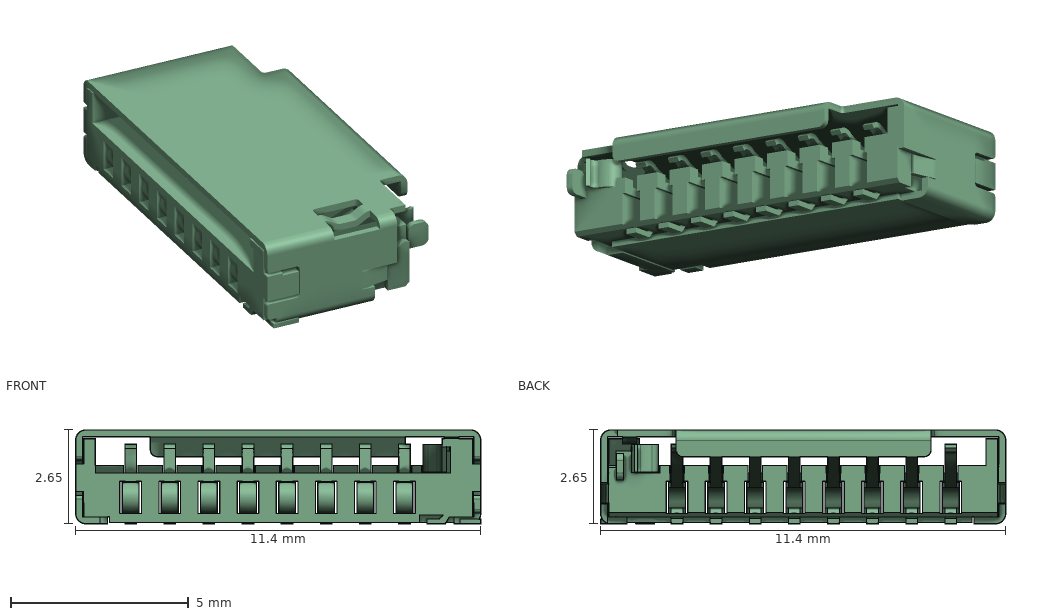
import cadquery as cq
import math


width = 11.4
height = 2.65
depth = 4.6
overall_depth = 5.5

sheet = 0.2
bend_radius = 0.3
corner_radius = 0.1
roof_under = height - sheet

left_lip_end = 0.9
left_lip_front_end = 0.69
lip_depth = 3.4
right_lip_start = 10.65
right_lip_front = 0.3
right_lip_rear = 2.93
right_finger_bottom = 0.31

pad_left = 10.82
pad_front = 0.2
pad_length = 0.8
pad_thickness = 0.14

side_skirt_bottom = 1.16
latch_window_front = 3.0
latch_window_bottom = 0.56
right_wall_rear = 4.1
tongue_bend_length = 0.13
tongue_rear = 3.88
tongue_angle = math.radians(11)
tongue_gap = 0.03
roof_notch_left = 10.92

ear_slot_depth = 1.03
ear_slot_bottom = 0.8
ear_slot_top = 1.8
ear_slot_flare = 0.1
ear_slot_corner = 0.13

tab_left = 2.1
tab_right = 9.28
tab_bottom = 1.89
tab_corner_radius = 0.2

roof_window_left = 9.99
roof_window_front = 2.12
roof_window_rear = 3.56
spring_left = 10.37
spring_right = 10.78
spring_slope = math.radians(30)
spring_upper_radius = 0.27
spring_lower_radius = 0.3
spring_ramp_run = 0.21
spring_flat = 0.446
spring_overlap = 0.1

side_gap = 0.03
body_left = sheet + side_gap
body_right = width - body_left
body_bottom = sheet
body_top = 2.4
floor_top = 1.44
left_wall_inner = 0.56
right_block_left = 10.31
right_block_depth = roof_window_front
card_notch_right = 10.54
card_notch_top = 2.17

boss_left = 0.95
boss_right = 9.68
boss_bottom = 0.04
boss_depth = 3.49
boss_rear_right = right_lip_start

ear_bottom = 0.91
ear_top = 1.69
ear_rear_top = 1.62
ear_step = 0.5
ear_depth = 1.0

post_left = 10.43
post_top = 2.05

side_recess = 0.2
side_recess_front = right_lip_rear
post_right = body_right - side_recess

lug_front = 3.92
lug_chamfer = 0.12
rear_rise_front = 4.1
rear_rise_crest = 4.45
rear_rise = 0.2
rear_rise_crown = 0.05

comb_front = 4.2
comb_top = 1.65
comb_right = 9.74

terminal_left = 9.885
terminal_knee = 10.4
terminal_depth = 0.4
terminal_recess_top = 0.25

contact_count = 8
contact_pitch = 1.1
first_contact_x = 1.55
contact_thickness = 0.15
contact_width = 0.33
loop_width = 0.48
tunnel_width = 0.6
tunnel_bottom = 0.3
tunnel_top = 1.2
loop_front = 0.06
loop_top = 1.17
beam_slot_width = 0.4
beam_slot_front = 1.2
beam_bend = (3.6, 2.06)
beam_crest = (3.85, 2.17)
beam_tip = (4.1, 2.08)
tail_knee = 3.96

leaf_thickness = 0.12
leaf_bottom = 1.45
leaf_top = 2.24
leaf_root_x = post_left - leaf_thickness / 2
leaf_root_y = 2.6
leaf_straight_end = 3.7
leaf_swing_start = (10.2, 3.98)
leaf_swing_end = (9.95, 4.15)
leaf_turn_middle = (9.83, 4.4)
leaf_turn_end = (9.98, 4.62)
leaf_hook_start = (10.28, 4.68)
leaf_hook_middle = (10.46, 4.85)
leaf_hook_tip = (10.4, 5.06)
blade_left = 10.76
blade_right = 10.95
blade_bottom = 1.24
blade_bar_top = 1.44
blade_upright_front = 4.69
blade_top = 1.98
blade_rear = 5.32
blade_radius = 0.2


def block(x0, x1, y0, y1, z0, z1):
    """Rectangular block between two corners."""
    return cq.Workplane("XY").box(x1 - x0, y1 - y0, z1 - z0, centered=False).translate((x0, y0, z0))


def strip(path, x_centre, y_start, z_start, strip_width, thickness):
    """Flat strip running back along a side-view path that starts in the +Y direction."""
    section = cq.Workplane("XZ", origin=(x_centre, y_start, z_start)).rect(strip_width, thickness)
    return section.sweep(path, transition="round")


def side_path(x_centre):
    """Sketch whose coordinates are y and z, in the plane x = x_centre."""
    return cq.Workplane("YZ", origin=(x_centre, 0, 0))


def side_prism(points, x0, x1):
    """Prism along X with a side-view outline of (y, z) points."""
    return side_path(x0).polyline(points).close().extrude(x1 - x0)


def plan_prism(points, z0, z1):
    """Prism along Z with a plan outline of (x, y) points."""
    return cq.Workplane("XY", origin=(0, 0, z0)).polyline(points).close().extrude(z1 - z0)


def cross_rod(radius, z):
    """Rod along X across the whole width, touching the front face at height z."""
    return side_path(0).center(radius, z).circle(radius).extrude(width)


def mirrored(shape):
    """The same shape on the opposite side of the part's middle plane."""
    return shape.mirror("YZ", (width / 2, 0, 0))


def shell_sleeve():
    """Bent sleeve with a roof, two side walls and a lip under each side."""
    sleeve = block(0, width, 0, depth, 0, height).edges("|Y").fillet(bend_radius)
    sleeve = sleeve.cut(block(sheet, width - sheet, 0, depth, sheet, roof_under))
    sleeve = sleeve.cut(block(left_lip_end, right_lip_start, 0, depth, 0, sheet))
    lip_taper = left_lip_end - left_lip_front_end
    taper = [(left_lip_front_end, 0), (left_lip_end, 0), (left_lip_end, lip_taper)]
    sleeve = sleeve.cut(plan_prism(taper, 0, sheet))
    sleeve = sleeve.cut(block(right_lip_start, width, 0, right_lip_front, 0, right_finger_bottom))
    rounding_z = right_finger_bottom + corner_radius
    finger_corner = block(width - sheet, width, 0, corner_radius, right_finger_bottom, rounding_z)
    sleeve = sleeve.cut(finger_corner.cut(cross_rod(corner_radius, rounding_z)))
    return sleeve.cut(block(right_lip_start, width - sheet, right_lip_rear, depth, 0, sheet))


def ear_slot():
    """Open-ended slot in the left wall, flared at its mouth."""
    slot = block(0, sheet, 0, ear_slot_depth, ear_slot_bottom, ear_slot_top)
    slot = slot.edges("|X and >Y").fillet(ear_slot_corner)
    flare_bottom = ear_slot_bottom - ear_slot_flare
    flare_top = ear_slot_top + ear_slot_flare
    flare = block(0, sheet, 0, ear_slot_flare, flare_bottom, flare_top)
    for z in (flare_bottom, flare_top):
        flare = flare.cut(cross_rod(ear_slot_flare, z))
    return slot.union(flare)


def wall_rear_cut():
    """Stepped clearance in the lower rear of the left wall and lip."""
    outline = [
        (latch_window_front, side_skirt_bottom),
        (depth, side_skirt_bottom),
        (depth, 0),
        (lip_depth, 0),
        (lip_depth, latch_window_bottom),
        (latch_window_front, latch_window_bottom),
    ]
    return side_prism(outline, 0, left_lip_end)


def latch_tongue():
    """Tongue in the left latch window, its free rear end bent inward."""
    outer_radius = tongue_bend_length / math.sin(tongue_angle)
    inner_radius = outer_radius - sheet

    def bend_point(radius, angle):
        return (outer_radius - radius * math.cos(angle), latch_window_front + radius * math.sin(angle))

    outer_bend_end = bend_point(outer_radius, tongue_angle)
    blade_run = tongue_rear - outer_bend_end[1]
    outer_tip = (outer_bend_end[0] + blade_run * math.tan(tongue_angle), tongue_rear)
    inner_tip = (
        outer_tip[0] + sheet * math.cos(tongue_angle),
        outer_tip[1] - sheet * math.sin(tongue_angle),
    )
    tongue_bottom = latch_window_bottom + tongue_gap
    tongue_top = side_skirt_bottom - tongue_gap
    return (
        cq.Workplane("XY", origin=(0, 0, tongue_bottom))
        .moveTo(*bend_point(outer_radius, 0))
        .threePointArc(bend_point(outer_radius, tongue_angle / 2), outer_bend_end)
        .lineTo(*outer_tip)
        .lineTo(*inner_tip)
        .lineTo(*bend_point(inner_radius, tongue_angle))
        .threePointArc(bend_point(inner_radius, tongue_angle / 2), bend_point(inner_radius, 0))
        .close()
        .extrude(tongue_top - tongue_bottom)
    )


def rear_tab():
    """Roof extension turned down at the rear, blended into the roof edge."""
    tab = block(tab_left, tab_right, depth - sheet, overall_depth, tab_bottom, height)
    tab = tab.edges(">Y and >Z").fillet(bend_radius)
    tab = tab.cut(block(tab_left, tab_right, depth - sheet, overall_depth - sheet, tab_bottom, roof_under))
    tab = tab.edges("|Y and <Z").fillet(tab_corner_radius)
    for x, outward in ((tab_left, -1), (tab_right, 1)):
        root_x = x + outward * corner_radius
        root_web = block(min(x, root_x), max(x, root_x), depth, depth + corner_radius, roof_under, height)
        round_cut = (
            cq.Workplane("XY", origin=(root_x, depth + corner_radius, roof_under))
            .circle(corner_radius)
            .extrude(sheet)
        )
        tab = tab.union(root_web.cut(round_cut))
    return tab


def roof_window():
    """Window through the roof and the right-hand bend."""
    window = block(
        roof_window_left, width, roof_window_front, roof_window_rear, height - bend_radius, height
    )
    return window.edges("|Z and <X").fillet(corner_radius)


def roof_spring():
    """Strip bridging the window lengthwise and dipping below the roof in smooth bends."""
    x_centre = (spring_left + spring_right) / 2
    z_roof = height - sheet / 2
    y_start = roof_window_front - spring_overlap
    bend_rise = 1 - math.cos(spring_slope)
    upper_run = spring_upper_radius * math.sin(spring_slope)
    upper_drop = spring_upper_radius * bend_rise
    lower_run = spring_lower_radius * math.sin(spring_slope)
    lower_drop = spring_lower_radius * bend_rise
    ramp_drop = spring_ramp_run * math.tan(spring_slope)
    path = (
        side_path(x_centre)
        .moveTo(y_start, z_roof)
        .lineTo(roof_window_front, z_roof)
        .tangentArcPoint((upper_run, -upper_drop))
        .line(spring_ramp_run, -ramp_drop)
        .tangentArcPoint((lower_run, -lower_drop))
        .line(spring_flat, 0)
        .tangentArcPoint((lower_run, lower_drop))
        .line(spring_ramp_run, ramp_drop)
        .tangentArcPoint((upper_run, upper_drop))
        .line(spring_overlap, 0)
    )
    return strip(path, x_centre, y_start, z_roof, spring_right - spring_left, sheet)


def make_shell():
    shell = shell_sleeve()
    shell = shell.cut(ear_slot()).cut(mirrored(ear_slot()))
    shell = shell.cut(wall_rear_cut()).cut(mirrored(wall_rear_cut()))
    shell = shell.union(latch_tongue()).union(mirrored(latch_tongue()))
    shell = shell.cut(block(roof_notch_left, width, right_wall_rear, depth, 0, height))
    shell = shell.union(rear_tab())
    shell = shell.cut(roof_window()).union(roof_spring())
    pad = block(pad_left, width, pad_front, pad_front + pad_length, 0, pad_thickness)
    return shell.union(pad)


def housing_body():
    """Floor slab, side walls, comb ridge and bottom boss."""
    body = block(body_left, body_right, 0, depth, body_bottom, floor_top)
    body = body.union(block(body_left, left_wall_inner, 0, depth, body_bottom, body_top))
    body = body.edges("|X and >Y and <Z").chamfer(lug_chamfer)
    body = body.union(block(right_block_left, body_right, 0, right_block_depth, floor_top, body_top))
    body = body.cut(
        block(right_block_left, card_notch_right, 0, right_block_depth, floor_top, card_notch_top)
    )
    body = body.union(block(post_left, post_right, right_block_depth, depth, floor_top, post_top))
    body = body.union(block(left_wall_inner, comb_right, comb_front, depth, floor_top, comb_top))
    body = body.union(block(boss_left, boss_right, 0, boss_depth, boss_bottom, body_bottom))
    return body.union(
        block(boss_right, boss_rear_right, terminal_depth, boss_depth, boss_bottom, body_bottom)
    )


def ear():
    """Side ear that fills the front slot of the left shell wall, lower at its rear."""
    front = block(0, body_left, 0, ear_step, ear_bottom, ear_top)
    return front.union(block(0, body_left, 0, ear_depth, ear_bottom, ear_rear_top))


def side_recess_cut():
    """Full-height recess in the left side that gives room to the latch tongue."""
    return block(
        body_left, body_left + side_recess, side_recess_front, lug_front, body_bottom, body_top
    )


def rear_right_rise():
    """Sloped rise on the rear right corner of the floor."""
    outline = [
        (rear_rise_front, floor_top),
        (rear_rise_crest, floor_top + rear_rise),
        (depth, floor_top + rear_rise - rear_rise_crown),
        (depth, floor_top),
    ]
    return side_prism(outline, post_right, body_right)


def front_terminal():
    """Foot at the front right that slants up into the underside of the housing."""
    rise = terminal_recess_top - pad_thickness
    outline = [
        (terminal_left, 0),
        (terminal_knee, 0),
        (terminal_knee + pad_thickness, terminal_recess_top),
        (terminal_knee + pad_thickness - sheet, terminal_recess_top),
        (terminal_knee + pad_thickness - sheet - rise, pad_thickness),
        (terminal_left, pad_thickness),
    ]
    return cq.Workplane("XZ").polyline(outline).close().extrude(-terminal_depth)


def contact(x):
    """Spring contact: rear tail, leg on the tunnel floor, front loop and rising beam."""
    loop_radius = (loop_top - tunnel_bottom) / 2
    loop_y = loop_front + loop_radius
    loop_z = (loop_top + tunnel_bottom) / 2
    z_leg = tunnel_bottom + contact_thickness / 2
    z_arm = loop_top - contact_thickness / 2
    z_tail = contact_thickness / 2

    loop = side_path(x - loop_width / 2).center(loop_y, loop_z).circle(loop_radius)
    loop = loop.circle(loop_radius - contact_thickness).extrude(loop_width)
    loop = loop.intersect(block(x - loop_width, x + loop_width, 0, loop_y, 0, height))

    leg_path = side_path(x).polyline([
        (loop_y, z_leg),
        (tail_knee - (z_leg - z_tail), z_leg),
        (tail_knee, z_tail),
        (depth, z_tail),
    ])
    leg = strip(leg_path, x, loop_y, z_leg, contact_width, contact_thickness)

    beam_path = side_path(x).moveTo(loop_y, z_arm).lineTo(beam_slot_front, z_arm)
    beam_path = beam_path.lineTo(*beam_bend).threePointArc(beam_crest, beam_tip)
    beam = strip(beam_path, x, loop_y, z_arm, contact_width, contact_thickness)
    return loop.union(leg).union(beam)


def contact_cavity(x):
    """Tunnel under the floor and the slot through the floor for the rising beam."""
    half_tunnel = tunnel_width / 2
    half_slot = beam_slot_width / 2
    tunnel = block(x - half_tunnel, x + half_tunnel, 0, depth, tunnel_bottom, tunnel_top)
    return tunnel.union(
        block(x - half_slot, x + half_slot, beam_slot_front - contact_thickness, depth, tunnel_top, comb_top)
    )


def switch_leaf():
    """Upright leaf that swings left behind the post and ends in a hook at the rear."""
    z_middle = (leaf_bottom + leaf_top) / 2
    path = (
        cq.Workplane("XY", origin=(0, 0, z_middle))
        .moveTo(leaf_root_x, leaf_root_y)
        .lineTo(leaf_root_x, leaf_straight_end)
        .tangentArcPoint(leaf_swing_start, relative=False)
        .lineTo(*leaf_swing_end)
        .threePointArc(leaf_turn_middle, leaf_turn_end)
        .tangentArcPoint(leaf_hook_start, relative=False)
        .threePointArc(leaf_hook_middle, leaf_hook_tip)
    )
    section = cq.Workplane("XZ", origin=(leaf_root_x, leaf_root_y, z_middle))
    return section.rect(leaf_thickness, leaf_top - leaf_bottom).sweep(path, transition="round")


def switch_blade():
    """Fixed blade standing behind the post: a bar with a rounded upright at its rear."""
    bar_rear = blade_upright_front + blade_radius
    bar = block(blade_left, blade_right, depth - sheet, bar_rear, blade_bottom, blade_bar_top)
    upright = block(blade_left, blade_right, blade_upright_front, blade_rear, blade_bottom, blade_top)
    upright = upright.edges("|X and (>Y or >Z)").fillet(blade_radius)
    return upright.union(bar)


def make_housing():
    housing = housing_body()
    housing = housing.union(ear()).union(mirrored(ear()))
    housing = housing.cut(side_recess_cut()).cut(mirrored(side_recess_cut()))
    housing = housing.union(rear_right_rise())
    housing = housing.cut(
        block(boss_right, terminal_knee, 0, terminal_depth, body_bottom, terminal_recess_top)
    )
    housing = housing.union(front_terminal())
    for index in range(contact_count):
        x = first_contact_x + index * contact_pitch
        housing = housing.cut(contact_cavity(x)).union(contact(x))
    return housing.union(switch_leaf()).union(switch_blade())


shell = make_shell()
housing = make_housing()
result = cq.Compound.makeCompound([shell.solids().val(), housing.solids().val()])